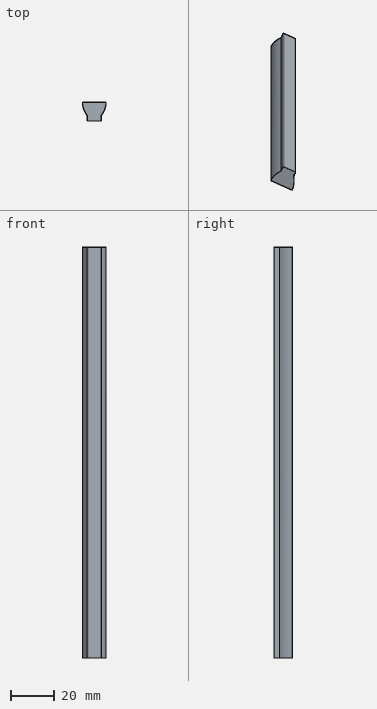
import cadquery as cq
import math

length = 190.5
head_width = 11.06
depth = 8.74

stem_width = 6.5
stem_depth = 2.55
land_depth = 0.5
back_radius = 0.4
flank_bulge = 0.47
corner_radius = 0.4


def flank_midpoint(start, end):
    """Crown of a flank arc, pushed out from the chord away from the bar's middle plane."""
    run_x = end[0] - start[0]
    run_y = end[1] - start[1]
    chord = math.hypot(run_x, run_y)
    side = math.copysign(1, start[0])
    crown_x = (start[0] + end[0]) / 2 + side * flank_bulge * abs(run_y) / chord
    crown_y = (start[1] + end[1]) / 2 - flank_bulge * abs(run_x) / chord
    return (crown_x, crown_y)


def make_bar():
    """Extrude the symmetric section: wide back at +Y, bulging flanks, narrow stem at -Y."""
    back_y = depth / 2
    front_y = -depth / 2
    half_head = head_width / 2
    half_stem = stem_width / 2
    land_y = back_y - land_depth
    stem_y = front_y + stem_depth

    right_land = (half_head, land_y)
    right_stem = (half_stem, stem_y)
    left_stem = (-half_stem, stem_y)
    left_land = (-half_head, land_y)

    return (
        cq.Workplane("XY")
        .workplane(offset=-length / 2)
        .moveTo(-half_head, back_y)
        .lineTo(half_head, back_y)
        .lineTo(*right_land)
        .threePointArc(flank_midpoint(right_land, right_stem), right_stem)
        .lineTo(half_stem, front_y)
        .lineTo(-half_stem, front_y)
        .lineTo(*left_stem)
        .threePointArc(flank_midpoint(left_land, left_stem), left_land)
        .close()
        .extrude(length)
    )


def round_stem_corners(bar):
    """Round the two long edges of the narrow face."""
    return bar.faces("<Y").edges("|Z").fillet(corner_radius)


def round_back_corners(bar):
    """Round the two long edges of the wide face."""
    return bar.faces(">Y").edges("|Z").fillet(back_radius)


result = round_back_corners(round_stem_corners(make_bar()))